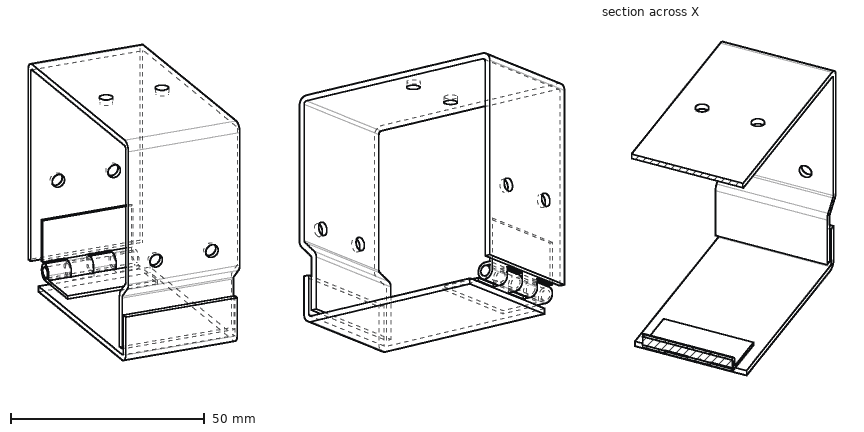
import cadquery as cq
import math

overall_x = 61.9
overall_z = 61.8

sheet = 1.55
bend_inner = 0.8
bend_middle = bend_inner + sheet / 2
bend_outer = bend_inner + sheet

housing_width = 31.7
left_wall_bottom = 6.6
jog_angle = 45.0
jog_top = 22.5
jog_depth = 3.9
lap_bottom = 3.1
hole_diameter = 3.45
hole_offset_y = housing_width / 4
wall_hole_z = 27.7

base_width = housing_width
base_shift_y = -0.05
base_left = 6.5
base_right = 60.5
base_lip_top = 12.8

pin_diameter = 2.85
leaf_sheet = 0.85
leaf_reach = 17.7
knuckle_count = 4
knuckle_length = 6.4
hinge_width = knuckle_count * knuckle_length
bore_radius = pin_diameter / 2
knuckle_radius = bore_radius + leaf_sheet
pin_axis = sheet + knuckle_radius


def side_points(start, heading, lengths, turns, offset):
    """Points of one sheet side, `offset` to the left of the middle line.

    Straight lengths alternate with bends. Each straight gives its end point, and each bend
    gives the point halfway round it and its end point. Positive turns go left.
    """
    x, z = start
    angle = math.radians(heading)
    points = [(x - offset * math.sin(angle), z + offset * math.cos(angle))]
    for index, length in enumerate(lengths):
        x += length * math.cos(angle)
        z += length * math.sin(angle)
        points.append((x - offset * math.sin(angle), z + offset * math.cos(angle)))
        if index == len(turns):
            break
        turn = math.radians(turns[index])
        radius = math.copysign(bend_middle, turn)
        centre_x = x - radius * math.sin(angle)
        centre_z = z + radius * math.cos(angle)
        for part_angle in (angle + turn / 2, angle + turn):
            reach = radius - offset
            points.append((centre_x + reach * math.sin(part_angle), centre_z - reach * math.cos(part_angle)))
        angle += turn
        x = centre_x + radius * math.sin(angle)
        z = centre_z - radius * math.cos(angle)
    return points


def draw_side(outline, points):
    """Continue the outline from the first point through alternating lines and bend arcs."""
    outline = outline.lineTo(*points[1])
    for index in range(2, len(points), 3):
        outline = outline.threePointArc(points[index], points[index + 1])
        outline = outline.lineTo(*points[index + 2])
    return outline


def bent_sheet(start, heading, lengths, turns, width):
    """Sheet strip bent along a middle line in XZ and centred on Y = 0."""
    left = side_points(start, heading, lengths, turns, sheet / 2)
    right = side_points(start, heading, lengths, turns, -sheet / 2)
    right.reverse()
    outline = draw_side(cq.Workplane("XZ").moveTo(*left[0]), left)
    outline = draw_side(outline.lineTo(*right[0]), right)
    return outline.close().extrude(width / 2, both=True)


def make_housing():
    jog = math.radians(jog_angle)
    jog_bend_shift = 2 * bend_middle * (1 - math.cos(jog))
    jog_straight = (jog_depth - jog_bend_shift) / math.sin(jog)
    jog_drop = 2 * bend_middle * math.sin(jog) + jog_straight * math.cos(jog)
    lengths = [
        overall_z - bend_outer - left_wall_bottom,
        overall_x - 2 * bend_outer,
        overall_z - bend_outer - jog_top,
        jog_straight,
        jog_top - jog_drop - lap_bottom,
    ]
    turns = [-90, -90, -jog_angle, jog_angle]
    housing = bent_sheet((sheet / 2, left_wall_bottom), 90, lengths, turns, housing_width)

    hole_sides = [-hole_offset_y, hole_offset_y]
    wall_holes = (
        cq.Workplane("YZ")
        .pushPoints([(y, wall_hole_z) for y in hole_sides])
        .circle(hole_diameter / 2)
        .extrude(overall_x)
    )
    top_holes = (
        cq.Workplane("XY", origin=(0, 0, overall_z - sheet))
        .pushPoints([(overall_x / 2, y) for y in hole_sides])
        .circle(hole_diameter / 2)
        .extrude(sheet)
    )
    return housing.cut(wall_holes).cut(top_holes)


def make_base():
    lengths = [base_right - bend_outer - base_left, base_lip_top - bend_outer]
    base = bent_sheet((base_left, sheet / 2), 0, lengths, [90], base_width)
    return base.translate((0, base_shift_y, 0))


def knuckle_section(radius, y_start):
    """Round bar about the pin axis with its lower right quarter squared off."""
    plane = cq.Workplane("XZ", origin=(pin_axis, y_start, pin_axis))
    bar = plane.circle(radius).extrude(-knuckle_length)
    corner = plane.rect(radius, -radius, centered=False).extrude(-knuckle_length)
    return bar.union(corner)


def make_leaf():
    """Flat leaf on the base; every second knuckle is its own, starting at the -Y end."""
    plate_start = pin_axis + knuckle_radius
    leaf = cq.Workplane("XY", origin=(plate_start, -hinge_width / 2, sheet)).box(
        leaf_reach - plate_start, hinge_width, leaf_sheet, centered=False
    )
    for index in range(0, knuckle_count, 2):
        y_start = index * knuckle_length - hinge_width / 2
        knuckle = knuckle_section(knuckle_radius, y_start).cut(knuckle_section(bore_radius, y_start))
        leaf = leaf.union(knuckle)
    return leaf


def make_leaves():
    """Two equal leaves; half a turn about the XZ diagonal stands the second on the left wall."""
    leaves = []
    for angle in (0, 180):
        leaves.append(make_leaf().rotate((0, 0, 0), (1, 0, 1), angle))
    return leaves


def make_pin():
    return (
        cq.Workplane("XZ", origin=(pin_axis, 0, pin_axis))
        .circle(pin_diameter / 2)
        .extrude(hinge_width / 2, both=True)
    )


housing = make_housing()
base = make_base()
leaves = make_leaves()
pin = make_pin()

result = cq.Compound.makeCompound([
    housing.val(),
    base.val(),
    *[leaf.val() for leaf in leaves],
    pin.val(),
])